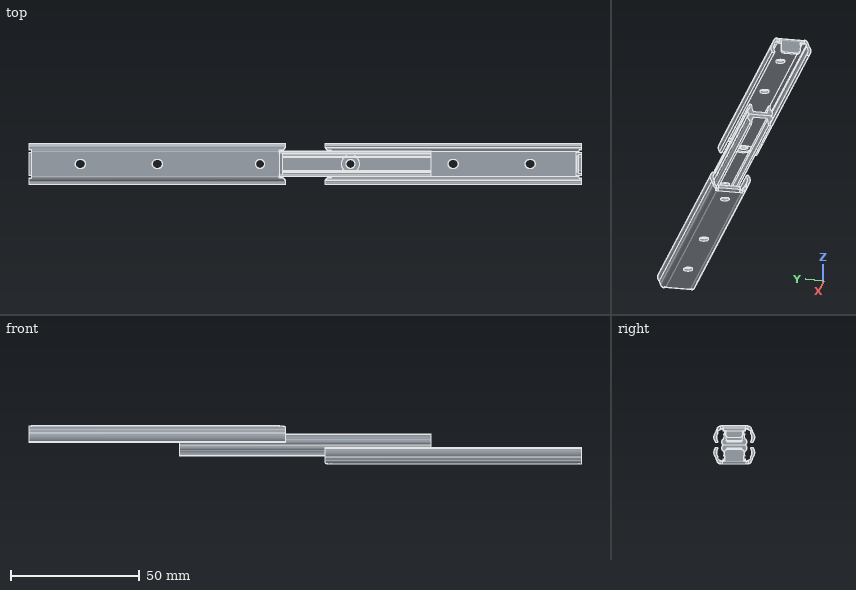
import cadquery as cq


TOTAL_LENGTH = 215.2
TOTAL_WIDTH = 16.0
TOTAL_HEIGHT = 15.0
SHEET = 1.2
TOP_Z = TOTAL_HEIGHT / 2

OUTER_LENGTH = 100.0
OUTER_HEIGHT = 6.6
OUTER_LEFT_X = -TOTAL_LENGTH / 2
OUTER_RIGHT_X = OUTER_LEFT_X + OUTER_LENGTH
OUTER_BOTTOM_Z = TOP_Z - OUTER_HEIGHT
WEB_HALF_WIDTH = 4.9
SIDE_HALF_WIDTH = 6.85
SHOULDER_DROP = 1.4
RACE_EDGE_HALF_WIDTH = 7.35
RACE_DROP = 2.8
RACE_DEEPEST_Z = TOP_Z - 4.5
LIP_HALF_WIDTH = 7.45
LIP_INNER_HALF_WIDTH = 6.35
LIP_ROUND_RISE = 0.5
INNER_SIDE_HALF_WIDTH = 6.25

TAB_HALF_WIDTH = 3.75
TAB_HEIGHT = 5.9
TAB_CORNER_RADIUS = 1.2
TAB_ROOT_HALF_WIDTH = 4.5
TAB_ROOT_HEIGHT = 1.4
PAD_HALF_WIDTH = 3.2
PAD_HEIGHT = 4.6
PAD_THICKNESS = 0.6
BEND_RADIUS = 1.0
RELIEF_HALF_WIDTH = 5.5
RELIEF_DEPTH = 0.9

NOTCH_DEPTH = 2.5
NOTCH_HALF_WIDTH = 5.3
NOTCH_MOUTH_HALF_WIDTH = 6.5
NOTCH_MOUTH_DEPTH = 1.0
TONGUE_HALF_WIDTH = 4.3
TONGUE_LENGTH = 1.3
TONGUE_DROP = 0.8

HOLE_DIAMETER = 3.4
SLOT_LENGTH = 3.9
SLOT_OFFSETS = (20.0, 50.0)
ROUND_HOLE_OFFSET = 90.0
COUNTERBORE_DIAMETER = 7.0
COUNTERBORE_FLOOR = 0.6

INNER_LENGTH = 98.0
INNER_TOP_Z = 4.2
INNER_BASE_HALF_WIDTH = 4.2
INNER_BULGE_HALF_WIDTH = 4.95
INNER_BULGE_Z = 1.0
INNER_RACE_EDGE_HALF_WIDTH = 4.5
INNER_RACE_BOTTOM_Z = 2.1
INNER_RACE_DEEPEST_HALF_WIDTH = 4.0
INNER_RIM_HALF_WIDTH = 4.2
CHANNEL_RIM_HALF_WIDTH = 3.4
CHANNEL_WALL_HALF_WIDTH = 3.0
CHANNEL_FLOOR_HALF_WIDTH = 2.6
CHANNEL_CORNER_HEIGHT = 0.5


def prism(outline, length, left_x):
    """Extrude an outline in the YZ plane along X from left_x."""
    return outline.close().extrude(length).translate((left_x, 0, 0))


def outer_half_profile():
    """Right half (+Y) of the outer rail's C section; the race is a bulge in its side wall,
    ending in a rounded lip.
    """
    shoulder_z = TOP_Z - SHOULDER_DROP
    race_top_z = TOP_Z - RACE_DROP
    lip_z = OUTER_BOTTOM_Z + LIP_ROUND_RISE
    lip_middle = (LIP_HALF_WIDTH + LIP_INNER_HALF_WIDTH) / 2
    return (
        cq.Workplane("YZ")
        .moveTo(0, TOP_Z)
        .lineTo(WEB_HALF_WIDTH, TOP_Z)
        .tangentArcPoint((SIDE_HALF_WIDTH, shoulder_z), relative=False)
        .lineTo(RACE_EDGE_HALF_WIDTH, race_top_z)
        .threePointArc((TOTAL_WIDTH / 2, RACE_DEEPEST_Z), (LIP_HALF_WIDTH, lip_z))
        .threePointArc((lip_middle, OUTER_BOTTOM_Z), (LIP_INNER_HALF_WIDTH, lip_z))
        .threePointArc(
            (TOTAL_WIDTH / 2 - SHEET, RACE_DEEPEST_Z),
            (INNER_SIDE_HALF_WIDTH, race_top_z),
        )
        .lineTo(INNER_SIDE_HALF_WIDTH, shoulder_z - SHEET / 2)
        .lineTo(WEB_HALF_WIDTH, TOP_Z - SHEET)
        .lineTo(0, TOP_Z - SHEET)
    )


def hanging_plate(left_x, thickness, half_width, height):
    """Plate across X that hangs from the top level, with rounded lower corners."""
    return (
        cq.Workplane("XY")
        .box(thickness, 2 * half_width, height, centered=(False, True, False))
        .translate((left_x, 0, TOP_Z - height))
        .edges("|X and <Z")
        .fillet(TAB_CORNER_RADIUS)
    )


def end_tab():
    """Tab bent down from a wider root in the web, with a raised stop pad on its inner face."""
    pad_x = OUTER_LEFT_X + SHEET
    root = (
        cq.Workplane("XY")
        .box(SHEET + BEND_RADIUS, 2 * TAB_ROOT_HALF_WIDTH, TAB_ROOT_HEIGHT, centered=(False, True, False))
        .translate((OUTER_LEFT_X, 0, TOP_Z - TAB_ROOT_HEIGHT))
    )
    return (
        root.union(hanging_plate(OUTER_LEFT_X, SHEET, TAB_HALF_WIDTH, TAB_HEIGHT))
        .edges("|Y and <X and >Z")
        .fillet(BEND_RADIUS)
        .union(hanging_plate(pad_x, PAD_THICKNESS, PAD_HALF_WIDTH, PAD_HEIGHT))
    )


def stop_tongue():
    root_x = OUTER_RIGHT_X - NOTCH_DEPTH
    return (
        cq.Workplane("XZ")
        .moveTo(root_x, TOP_Z)
        .line(TONGUE_LENGTH, -TONGUE_DROP)
        .line(0, -SHEET)
        .line(-TONGUE_LENGTH, TONGUE_DROP)
        .close()
        .extrude(TONGUE_HALF_WIDTH, both=True)
    )


def relief_cut():
    """Block that clears the web beside the tab's bend."""
    return (
        cq.Workplane("XY", origin=(OUTER_LEFT_X, 0, RACE_DEEPEST_Z))
        .rect(2 * RELIEF_DEPTH, 2 * RELIEF_HALF_WIDTH)
        .extrude(TOP_Z)
    )


def stop_notch():
    """Notch in the web around the stop tongue, flared at its mouth."""
    mouth_x = OUTER_RIGHT_X - NOTCH_MOUTH_DEPTH
    half = (
        cq.Workplane("XY", origin=(0, 0, RACE_DEEPEST_Z))
        .moveTo(OUTER_RIGHT_X - NOTCH_DEPTH, 0)
        .lineTo(OUTER_RIGHT_X - NOTCH_DEPTH, NOTCH_HALF_WIDTH)
        .lineTo(mouth_x, NOTCH_HALF_WIDTH)
        .lineTo(OUTER_RIGHT_X, NOTCH_MOUTH_HALF_WIDTH)
        .lineTo(OUTER_RIGHT_X, 0)
        .close()
        .extrude(TOP_Z)
    )
    return half.union(half.mirror("XZ"))


def make_outer_rail():
    half = prism(outer_half_profile(), OUTER_LENGTH, OUTER_LEFT_X)
    rail = half.union(half.mirror("XZ"))

    rail = rail.cut(relief_cut())
    rail = rail.union(end_tab())

    rail = rail.cut(stop_notch())
    rail = rail.union(stop_tongue())

    slot_places = [(OUTER_LEFT_X + offset, 0) for offset in SLOT_OFFSETS]
    slots = cq.Workplane("XY").pushPoints(slot_places).slot2D(SLOT_LENGTH, HOLE_DIAMETER).extrude(TOP_Z)
    return rail.cut(slots).cut(round_hole(OUTER_LEFT_X + ROUND_HOLE_OFFSET))


def round_hole(x):
    return cq.Workplane("XY").center(x, 0).circle(HOLE_DIAMETER / 2).extrude(TOP_Z)


def inner_half_profile():
    """Right half (+Y) of the inner rail: rounded lower corner with a hollow ball race above it."""
    race_middle_z = (INNER_RACE_BOTTOM_Z + INNER_TOP_Z) / 2
    return (
        cq.Workplane("YZ")
        .lineTo(INNER_BASE_HALF_WIDTH, 0)
        .threePointArc(
            (INNER_BULGE_HALF_WIDTH, INNER_BULGE_Z),
            (INNER_RACE_EDGE_HALF_WIDTH, INNER_RACE_BOTTOM_Z),
        )
        .threePointArc((INNER_RACE_DEEPEST_HALF_WIDTH, race_middle_z), (INNER_RIM_HALF_WIDTH, INNER_TOP_Z))
        .lineTo(CHANNEL_RIM_HALF_WIDTH, INNER_TOP_Z)
        .lineTo(CHANNEL_WALL_HALF_WIDTH, SHEET + CHANNEL_CORNER_HEIGHT)
        .lineTo(CHANNEL_FLOOR_HALF_WIDTH, SHEET)
        .lineTo(0, SHEET)
    )


def make_inner_rail():
    half = prism(inner_half_profile(), INNER_LENGTH, -INNER_LENGTH / 2)
    rail = half.union(half.mirror("XZ"))

    hole_x = OUTER_LEFT_X + ROUND_HOLE_OFFSET
    counterbore = (
        cq.Workplane("XY", origin=(-hole_x, 0, COUNTERBORE_FLOOR))
        .circle(COUNTERBORE_DIAMETER / 2)
        .extrude(SHEET - COUNTERBORE_FLOOR)
    )
    return rail.cut(round_hole(hole_x)).cut(round_hole(-hole_x)).cut(counterbore)


def lower_copy(body):
    return body.rotate((0, 0, 0), (0, 1, 0), 180)


outer_rail = make_outer_rail()
inner_rail = make_inner_rail()
bodies = []
for body in (outer_rail, inner_rail):
    bodies.append(body.val())
    bodies.append(lower_copy(body).val())

result = cq.Compound.makeCompound(bodies)